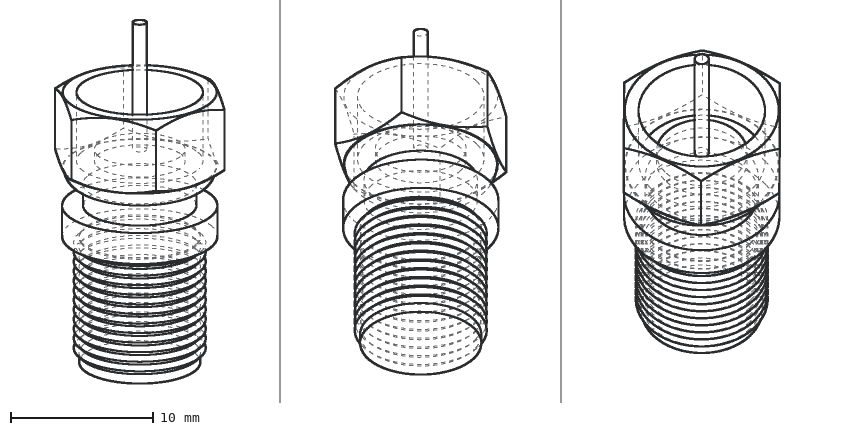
import cadquery as cq
import math

total_height = 25.6
nut_top = 20.33
nut_bottom = 14.75
collar_bottom = 13.45
flange_top = 11.8
flange_bottom = 9.47

pin_diameter = 1.0
neck_radius = 4.0
flange_radius = 5.48
collar_radius = 5.38
collar_rounding = 1.28

nut_across_corners = 12.67
nut_chamfer_radius = 5.43
nut_chamfer_angle = 30.0

bore_radius = 4.45
bore_floor = 15.15
centre_radius = 3.2
centre_top = 16.03

thread_crest_radius = 4.65
thread_root_radius = 4.28
thread_start = 0.72
thread_end = 9.37
thread_ridges = 12
thread_pitch = (thread_end - thread_start) / thread_ridges


def cylinder(radius, bottom, top):
    return cq.Workplane("XY").workplane(offset=bottom).circle(radius).extrude(top - bottom)


def make_thread():
    """Revolved barrel with a row of V-shaped ridges."""
    profile = [(0, 0), (thread_root_radius, 0)]
    for ridge in range(thread_ridges):
        ridge_bottom = thread_start + ridge * thread_pitch
        profile.append((thread_root_radius, ridge_bottom))
        profile.append((thread_crest_radius, ridge_bottom + thread_pitch / 2))
    profile.append((thread_root_radius, thread_end))
    profile.append((thread_root_radius, flange_bottom))
    profile.append((0, flange_bottom))
    return cq.Workplane("XZ").polyline(profile).close().revolve(360, (0, 0), (0, 1))


def make_nut():
    """Hexagon whose corners are trimmed by a cone at both ends."""
    hexagon = (
        cq.Workplane("XY")
        .workplane(offset=nut_bottom)
        .polygon(6, nut_across_corners)
        .extrude(nut_top - nut_bottom)
    )
    corner_radius = nut_across_corners / 2
    chamfer_height = (corner_radius - nut_chamfer_radius) * math.tan(math.radians(nut_chamfer_angle))
    trimming_profile = [
        (0, nut_bottom),
        (nut_chamfer_radius, nut_bottom),
        (corner_radius, nut_bottom + chamfer_height),
        (corner_radius, nut_top - chamfer_height),
        (nut_chamfer_radius, nut_top),
        (0, nut_top),
    ]
    trimming_body = cq.Workplane("XZ").polyline(trimming_profile).close().revolve(360, (0, 0), (0, 1))
    return hexagon.intersect(trimming_body)


def make_collar():
    """Round skirt under the nut with a rounded lower edge."""
    return cylinder(collar_radius, collar_bottom, nut_bottom).faces("<Z").edges().fillet(collar_rounding)


thread = make_thread()
flange = cylinder(flange_radius, flange_bottom, flange_top)
neck = cylinder(neck_radius, flange_top, collar_bottom)
bore = cylinder(bore_radius, bore_floor, nut_top)
raised_centre = cylinder(centre_radius, bore_floor, centre_top)
pin = cylinder(pin_diameter / 2, centre_top, total_height)

result = (
    thread.union(flange)
    .union(neck)
    .union(make_collar())
    .union(make_nut())
    .cut(bore)
    .union(raised_centre)
    .union(pin)
)